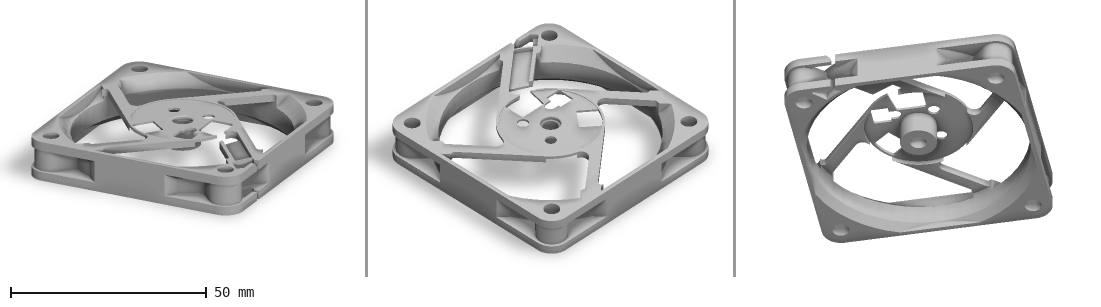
import cadquery as cq
import math

side = 60.0
height = 10.7
corner_radius = 5.0
diagonal = 45.0
flange = 2.4
hole_pitch = 50.05
hole_dia = 4.3

bore_radius = 28.7
duct_half_width = 28.8
duct_wall = 1.55
top_flare_radius = 31.8
top_flare_height = 3.35
bottom_flare_radius = 30.6
bottom_flare_height = 2.0

pocket_plane = 28.3
boss_radius = 4.2
pocket_fillet = 1.5

hub_radius = 14.0
hub_thickness = 0.8
label_radius = 13.4
label_depth = 0.2
strut_angle = 40.0
strut_width = 3.05
strut_thickness = 2.0
strut_bottom = height - strut_thickness
strut_inner = hub_radius - strut_width
pad_margin = 1.0
hub_fillet = 2.05
bore_fillet = 0.95

tube_radius = 4.75
tube_bottom = 3.9
shaft_radius = 2.1
seat_radius = 2.65
seat_depth = 1.1
seat_chamfer = 0.25

hub_hole_radius = 1.55
hub_hole_offset = 5.0
window_corner = 0.6
square_width = 6.7
square_inner = 7.1
square_shift = -0.7
square_angle = 141.0
key_left = 2.7
key_right = 7.9
key_top = -6.5
key_bottom = -11.1
key_neck = 2.95
cable_left = 6.6
cable_top = 3.4
cable_bottom = -4.4
cable_outer_bottom = -5.95
rim_gap_start_slope = 0.17
rim_gap_end_slope = 0.45

channel_depth = 1.3
channel_floor = height - channel_depth
lip_outer = 5.8
lip_inner = 6.8
channel_side = 11.65
channel_fillet = 1.75
shelf_start_lip = 16.55
shelf_start_strut = 14.05
channel_end_radius = 30.95
exit_radius = 31.4
exit_plane = 35.75
exit_top = -15.95
exit_bottom = -17.1
exit_chamfer = 1.0
slot_start = 28.15


def disc(radius, z_low, z_high):
    return cq.Workplane("XY").workplane(offset=z_low).circle(radius).extrude(z_high - z_low)


def block(x_low, x_high, y_low, y_high, z_low, z_high):
    size = (x_high - x_low, y_high - y_low, z_high - z_low)
    return cq.Workplane("XY").box(*size, centered=False).translate((x_low, y_low, z_low))


def prism(points, z_low, z_high):
    return cq.Workplane("XY").workplane(offset=z_low).polyline(points).close().extrude(z_high - z_low)


def turn(shape, angle):
    return shape.rotate((0, 0, 0), (0, 0, 1), angle)


def fillet_at(shape, point, radius):
    """Round the upright edge that passes through a point in plan."""
    x, y = point
    reach = 0.05
    near = cq.selectors.BoxSelector((x - reach, y - reach, 0), (x + reach, y + reach, height))
    return shape.edges(near).fillet(radius)


def half_chord(radius, offset):
    return math.sqrt(radius**2 - offset**2)


def duct(wall):
    """Flared duct with its surface moved outward by a wall thickness."""
    bottom_flare_angle = math.atan2(bottom_flare_radius - bore_radius, bottom_flare_height)
    top_flare_angle = math.atan2(top_flare_radius - bore_radius, top_flare_height)
    waist_radius = bore_radius + wall
    waist_bottom = bottom_flare_height + wall * math.tan(bottom_flare_angle / 2)
    waist_top = height - top_flare_height - wall * math.tan(top_flare_angle / 2)
    profile = [
        (0, 0),
        (bottom_flare_radius + wall / math.cos(bottom_flare_angle), 0),
        (waist_radius, waist_bottom),
        (waist_radius, waist_top),
        (top_flare_radius + wall / math.cos(top_flare_angle), height),
        (0, height),
    ]
    return cq.Workplane("XZ").polyline(profile).close().revolve(360, (0, 0, 0), (0, 1, 0))


def corner_pocket():
    """Pocket around the boss of the corner on the +X axis, before turning it onto its diagonal."""
    reach = side / math.sqrt(2)
    boss_distance = hole_pitch / math.sqrt(2)
    top = height - flange
    pocket = block(pocket_plane, reach, -reach / 2, reach / 2, flange, top)
    pocket = pocket.cut(disc(bore_radius + duct_wall, flange, top))
    pocket = pocket.cut(block(0, boss_distance, -boss_radius, boss_radius, flange, top))
    pocket = pocket.cut(disc(boss_radius, flange, top).translate((boss_distance, 0, 0)))
    root = half_chord(bore_radius + duct_wall, boss_radius)
    for y in (-boss_radius, boss_radius):
        pocket = fillet_at(pocket, (root, y), pocket_fillet)
    return pocket.cut(duct(duct_wall))


def strut_pad(inner, angle):
    """Solid foot that carries a strut through the flare."""
    return turn(block(inner - pad_margin, hub_radius + pad_margin, -side, 0, 0, height), angle)


def frame():
    body = cq.Workplane("XY").box(side, side, height, centered=(True, True, False))
    body = body.edges("|Z").fillet(corner_radius)
    pocket = corner_pocket()
    for k in range(4):
        body = body.cut(turn(pocket, diagonal + 90 * k))
    body = body.cut(
        cq.Workplane("XY").rect(hole_pitch, hole_pitch, forConstruction=True)
        .vertices().circle(hole_dia / 2).extrude(height)
    )
    half = duct_half_width
    air = duct(0).intersect(block(-half, half, -half, half, 0, height))
    waist = height - top_flare_height
    upper = air.intersect(block(-half, half, -half, half, waist, height))
    lower = air.intersect(block(-half, half, -half, half, 0, waist))
    for k in range(4):
        inner = lip_outer if k == 0 else strut_inner
        upper = upper.cut(strut_pad(inner, strut_angle + 90 * k))
    return body.cut(lower).cut(upper).cut(disc(bore_radius, 0, height))


def air_opening(inner, root_fillet):
    """Opening from a strut along +X, tangent to the hub, to the inner edge of the next one along +Y."""
    strut_end = (half_chord(bore_radius, hub_radius), hub_radius)
    next_end = (-inner, half_chord(bore_radius, inner))
    next_root = (-inner, half_chord(hub_radius, inner))

    def on_circle(radius, start, end):
        middle = (math.atan2(start[1], start[0]) + math.atan2(end[1], end[0])) / 2
        return (radius * math.cos(middle), radius * math.sin(middle))

    tangent = (0, hub_radius)
    opening = (
        cq.Workplane("XY").workplane(offset=strut_bottom)
        .moveTo(*tangent).lineTo(*strut_end)
        .threePointArc(on_circle(bore_radius, strut_end, next_end), next_end)
        .lineTo(*next_root)
        .threePointArc(on_circle(hub_radius, next_root, tangent), tangent)
        .close().extrude(strut_thickness)
    )
    opening = fillet_at(opening, strut_end, bore_fillet)
    opening = fillet_at(opening, next_end, bore_fillet)
    return fillet_at(opening, next_root, root_fillet)


def cable_opening():
    """Air opening beside the first strut, narrowed by the shelf that carries the cable channel."""
    outline = [
        (-lip_outer, shelf_start_lip),
        (-channel_side, shelf_start_strut),
        (-side, shelf_start_strut),
        (-side, side),
        (-lip_outer, side),
    ]
    opening = air_opening(channel_side, channel_fillet).cut(prism(outline, strut_bottom, height))
    return fillet_at(opening, (-lip_outer, half_chord(bore_radius, lip_outer)), bore_fillet)


def strut_plate():
    """Struts and hub as one plate, thinned under the hub."""
    plate = disc(bore_radius, strut_bottom, height)
    for k in range(3):
        plate = plate.cut(turn(air_opening(strut_inner, hub_fillet), strut_angle + 90 * (k - 1)))
    plate = plate.cut(turn(cable_opening(), strut_angle + 180))
    return plate.cut(disc(hub_radius, strut_bottom, height - hub_thickness))


def cut_hub(body):
    """Label recess, screw holes and windows of the hub."""
    body = body.cut(disc(label_radius, height - label_depth, height))
    for x in (-hub_hole_offset, hub_hole_offset):
        body = body.cut(disc(hub_hole_radius, strut_bottom, height).translate((x, hub_hole_offset, 0)))
    label_area = disc(label_radius, strut_bottom, height)

    square = block(-square_width / 2, square_width / 2, square_inner, hub_radius, strut_bottom, height)
    square = turn(square.translate((square_shift, 0, 0)), square_angle)
    body = body.cut(square.intersect(label_area))

    key = block(key_left, key_right, key_bottom, key_top, strut_bottom, height)
    key = key.edges("|Z and <X and <Y").fillet(window_corner)
    key_hole = disc(key_neck / 2, strut_bottom, height).translate((hub_hole_offset, -hub_hole_offset, 0))
    neck = block(-key_neck / 2, key_neck / 2, key_top, -hub_hole_offset, strut_bottom, height)
    neck = neck.translate((hub_hole_offset, 0, 0))
    neck = neck.union(key_hole)
    body = body.cut(key.intersect(label_area)).cut(neck)

    cable = prism(
        [
            (cable_left, cable_top),
            (cable_left, cable_bottom),
            (hub_radius, cable_outer_bottom),
            (hub_radius, cable_top),
        ],
        strut_bottom, height,
    )
    cable = cable.edges("|Z and <X").fillet(window_corner)
    body = body.cut(cable.intersect(label_area))
    gap_end = side / 2
    gap = prism(
        [(0, 0), (gap_end, -gap_end * rim_gap_start_slope), (gap_end, -gap_end * rim_gap_end_slope)],
        strut_bottom, height,
    )
    rim = disc(hub_radius, strut_bottom, height).cut(label_area)
    return body.cut(gap.intersect(rim))


def bearing_tube():
    return disc(tube_radius, tube_bottom, height - label_depth)


def cut_shaft(body):
    """Through bore with a chamfered seat at the top."""
    top = height - label_depth
    body = body.cut(disc(shaft_radius, 0, height))
    seat = disc(seat_radius, top - seat_depth, top)
    chamfer = (
        cq.Workplane("XY").workplane(offset=top).circle(seat_radius + seat_chamfer)
        .workplane(offset=-seat_chamfer).circle(seat_radius).loft()
    )
    return body.cut(seat).cut(chamfer)


def cut_cable_channel(body):
    """Channel along the strut, and the exit through the frame on the +X side."""
    channel = block(lip_inner, channel_side, -side, -shelf_start_strut, channel_floor, height)
    channel = turn(channel, strut_angle)
    channel = channel.intersect(disc(channel_end_radius, 0, height))
    body = body.cut(channel)

    strip = turn(block(lip_outer, channel_side, -side, 0, 0, height), strut_angle)
    strip = strip.intersect(turn(block(0, exit_plane, -side, side, 0, height), -diagonal))
    strip = strip.intersect(block(0, duct_half_width, -side, 0, 0, height)).cut(disc(exit_radius, 0, height))
    neck = turn(block(0, side, -boss_radius, boss_radius, 0, height), -diagonal)
    body = body.cut(strip.cut(neck))

    neck_strip = strip.intersect(neck)
    body = body.cut(neck_strip.intersect(block(0, side, -side, 0, channel_floor, height)))

    slot = block(slot_start, side / 2, exit_bottom, exit_top, 0, height)
    slope = (
        cq.Workplane("YZ").workplane(offset=duct_half_width)
        .polyline([(exit_bottom, channel_floor), (exit_bottom, height), (exit_bottom - exit_chamfer, height)])
        .close().extrude(side / 2 - duct_half_width)
    )
    return body.cut(slot).cut(slope)


result = frame().union(strut_plate()).union(bearing_tube())
result = cut_hub(result)
result = cut_shaft(result)
result = cut_cable_channel(result).solids()